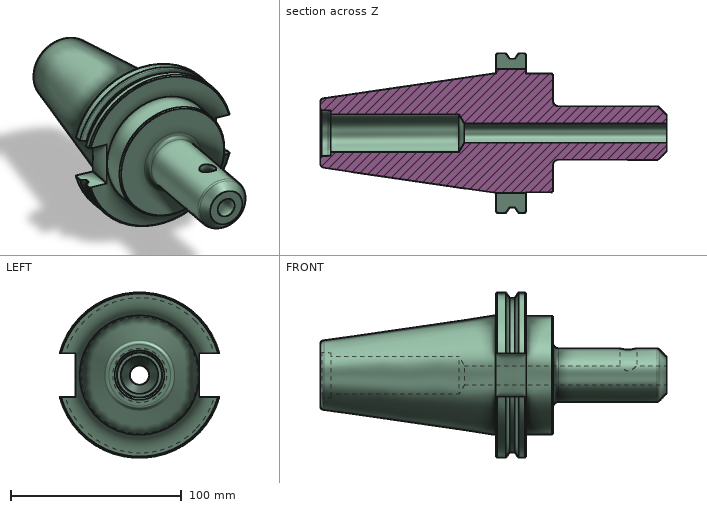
import cadquery as cq
import math

total_length = 203.2
gauge_line_x = 102.0
flange_start_x = 103.0
flange_end_x = 120.7
collar_end_x = 136.5

gauge_diameter = 70.1
collar_diameter = 70.0
taper_ratio = 7 / 24
nose_fillet = 2.5
collar_chamfer = 0.8

flange_diameter = 97.1
flange_chamfer = 0.8
groove_mid_x = 112.5
groove_floor_width = 3.0
groove_mouth_width = 6.5
groove_depth = 3.0
groove_lip_chamfer = 0.6

slot_width = 25.6
slot_floor_plus_y = 37.5
slot_floor_minus_y = 35.2

shank_diameter = 31.7
shank_root_fillet = 3.0
shank_end_diameter = 21.3
shank_edge_fillet = 1.8

mouth_diameter = 29.0
mouth_depth = 0.8
recess_diameter = 26.6
recess_straight_end = 4.5
recess_depth = 6.0
recess_floor_diameter = 26.2
bore_diameter = 22.0
bore_depth = 81.3
through_diameter = 11.2
drill_half_angle = math.radians(59)

cross_hole_diameter = 10.0
cross_hole_x = 180.5


def revolve_about_x(points):
    """Revolve a closed (x, radius) outline about the X axis."""
    return cq.Workplane("XY").polyline(points).close().revolve(360, (0, 0, 0), (1, 0, 0))


def edges_at(solid, x, radius):
    """Circular edges centred on the X axis with the given position and radius."""
    tolerance = 0.02
    start = x - tolerance
    end = x + tolerance
    outer = radius + tolerance
    inner = radius - tolerance
    box = cq.selectors.BoxSelector((start, -outer, -outer), (end, outer, outer), boundingbox=True)
    core = cq.selectors.BoxSelector((start, -inner, -inner), (end, inner, inner), boundingbox=True)
    return solid.edges(box - core)


def make_body():
    """Taper, collar and shank."""
    gauge_radius = gauge_diameter / 2
    collar_radius = collar_diameter / 2
    nose_radius = gauge_radius - gauge_line_x * taper_ratio / 2
    shank_radius = shank_diameter / 2
    end_radius = shank_end_diameter / 2
    end_chamfer_x = total_length - (shank_radius - end_radius)
    body = revolve_about_x([
        (0, 0),
        (0, nose_radius),
        (gauge_line_x, gauge_radius),
        (flange_start_x, gauge_radius),
        (flange_start_x, collar_radius),
        (collar_end_x, collar_radius),
        (collar_end_x, shank_radius),
        (end_chamfer_x, shank_radius),
        (total_length, end_radius),
        (total_length, 0),
    ])
    body = edges_at(body, 0, nose_radius).fillet(nose_fillet)
    body = edges_at(body, collar_end_x, collar_radius).chamfer(collar_chamfer)
    body = edges_at(body, collar_end_x, shank_radius).fillet(shank_root_fillet)
    return edges_at(body, end_chamfer_x, shank_radius).fillet(shank_edge_fillet)


def make_flange():
    """Grooved flange with two drive slots."""
    radius = flange_diameter / 2
    floor_radius = radius - groove_depth
    mouth_half = groove_mouth_width / 2
    floor_half = groove_floor_width / 2
    lip_half = mouth_half + groove_lip_chamfer
    flange = revolve_about_x([
        (flange_start_x, 0),
        (flange_start_x, radius - flange_chamfer),
        (flange_start_x + flange_chamfer, radius),
        (groove_mid_x - lip_half, radius),
        (groove_mid_x - mouth_half, radius - groove_lip_chamfer),
        (groove_mid_x - floor_half, floor_radius),
        (groove_mid_x + floor_half, floor_radius),
        (groove_mid_x + mouth_half, radius - groove_lip_chamfer),
        (groove_mid_x + lip_half, radius),
        (flange_end_x - flange_chamfer, radius),
        (flange_end_x, radius - flange_chamfer),
        (flange_end_x, 0),
    ])
    for side, floor in ((1, slot_floor_plus_y), (-1, slot_floor_minus_y)):
        slot = cq.Workplane("XY").box(flange_end_x - flange_start_x, radius, slot_width)
        slot_centre_x = (flange_start_x + flange_end_x) / 2
        flange = flange.cut(slot.translate((slot_centre_x, side * (floor + radius / 2), 0)))
    return flange


def make_bore():
    """Chamfered recess that narrows towards its floor, long bore with a conical bottom, and through hole."""
    recess_radius = recess_diameter / 2
    bore_radius = bore_diameter / 2
    through_radius = through_diameter / 2
    cone_length = (bore_radius - through_radius) / math.tan(drill_half_angle)
    return revolve_about_x([
        (0, 0),
        (0, mouth_diameter / 2),
        (mouth_depth, recess_radius),
        (recess_straight_end, recess_radius),
        (recess_depth, recess_floor_diameter / 2),
        (recess_depth, bore_radius),
        (bore_depth, bore_radius),
        (bore_depth + cone_length, through_radius),
        (total_length, through_radius),
        (total_length, 0),
    ])


def make_cross_hole():
    """Hole from the top of the shank down to the axis."""
    hole = cq.Workplane("XY").center(cross_hole_x, 0).circle(cross_hole_diameter / 2)
    return hole.extrude(shank_diameter)


result = make_body().union(make_flange()).cut(make_bore()).cut(make_cross_hole())